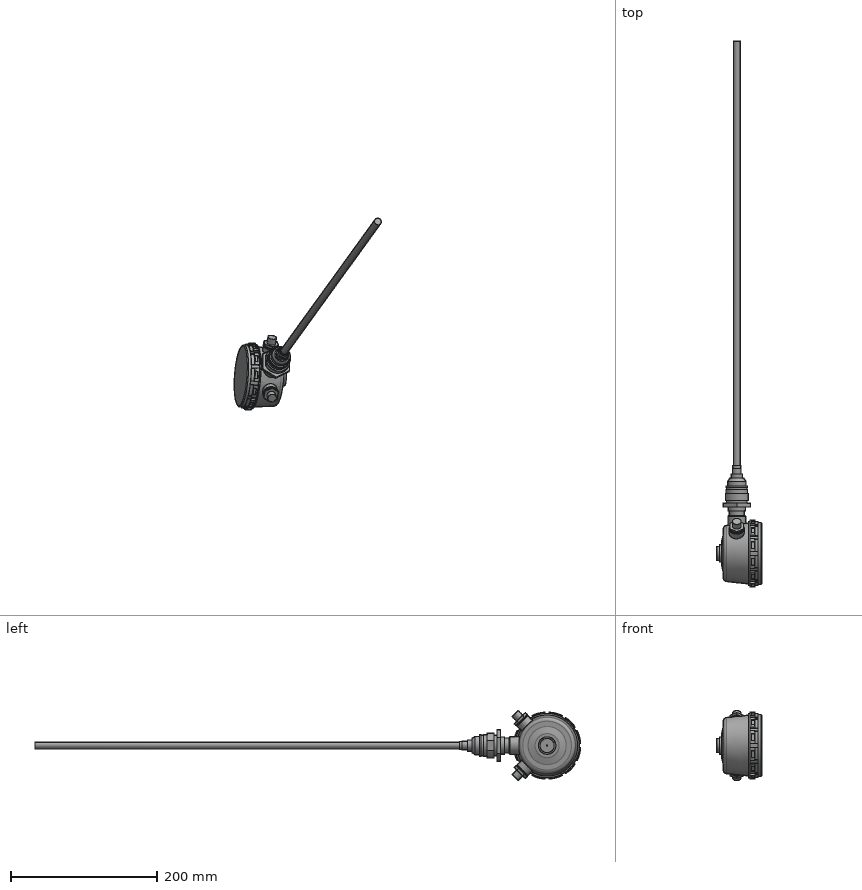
import cadquery as cq


TOTAL_LENGTH = 746.0
COVER_OUTER_DIAMETER = 92.0
PAD_RADIUS = COVER_OUTER_DIAMETER / 2
ROD_END_Y = TOTAL_LENGTH - PAD_RADIUS

ROD_RADIUS = 4.85
NECK_RADIUS = 10.5
NECK_START_Y = 52.0
COLLAR_RADIUS = 12.0
COLLAR_START_Y = 58.0
FLANGE_START_Y = 63.5
FLANGE_END_Y = 68.5
FLANGE_CORNERS = 43.0
SEAT_RADIUS = 14.0
NUT_START_Y = 72.0
NUT_END_Y = 82.0
NUT_RADIUS = 17.0
NUT_ACROSS_FLATS = 31.0
RING_RADIUS = 15.0
RING_GROOVE_RADIUS = 14.0
RING_GROOVE_START_Y = 87.0
RING_GROOVE_END_Y = 90.0
RING_END_Y = 92.5
SHOULDER_RADIUS = 13.0
SHOULDER_END_Y = 98.5
TAPER_RADIUS = 10.0
TAPER_END_Y = 103.0
SLEEVE_BASE_RADIUS = 16.0 / 2
SLEEVE_BASE_END_Y = 109.0
SLEEVE_RADIUS = 6.0
SLEEVE_END_Y = 116.0
TIP_RING_RADIUS = 5.6
TIP_RING_END_Y = 120.0

BACK_X = -19.0
BACK_RADIUS = 38.0
BACK_FILLET = 5.0
COVER_START_X = 16.0
SHELL_FRONT_RADIUS = 42.0
SPOUT_RADIUS = 24.5 / 2
SPOUT_CHAMFER = 1.5

DOME_RADIUS = 26.0
DOME_TOP_RADIUS = 16.5
DOME_TOP_X = -21.0
PLUG_RADIUS = 12.0
PLUG_TOP_X = -24.0
CAP_RADIUS = 10.0
CAP_TOP_X = -27.5
CENTRE_MARK_DIAMETER = 1.65
CENTRE_MARK_DEPTH = 1.5

COVER_END_X = 34.0
COVER_RADIUS = 42.5
COVER_CHAMFER = 1.5
COVER_RIM_RADIUS = 44.0
COVER_RIM_END_X = 18.0
PAD_COUNT = 12
PAD_STEP_X = 24.5
PAD_END_X = 29.0
PAD_LOW_RADIUS = 44.0
PAD_GAP = 5.0
POCKET_START_X = 20.0
POCKET_END_X = 24.0
POCKET_WIDTH = 10.0
POCKET_DEPTH = 2.0

ENTRY_ANGLES = (45, -45)
ENTRY_BOSS_RADIUS = 10.5
ENTRY_BOSS_END = 48.0
ENTRY_GROOVE_RADIUS = 9.0
ENTRY_NUT_START = 49.0
ENTRY_NUT_END = 53.0
ENTRY_NUT_CORNERS = 22.0
ENTRY_TIP_RADIUS = 6.0
ENTRY_TIP_END = 62.0


def y_cylinder(radius, start, end):
    return cq.Workplane("XZ", origin=(0, start, 0)).circle(radius).extrude(start - end)


def y_hexagon(corners, start, end):
    """Hexagonal prism along Y with two corners on the Z axis."""
    hexagon = cq.Workplane("XZ", origin=(0, start, 0)).polygon(6, corners).extrude(start - end)
    return hexagon.rotate((0, 0, 0), (0, 1, 0), 90)


def x_cylinder(radius, start, end):
    return cq.Workplane("YZ", origin=(start, 0, 0)).circle(radius).extrude(end - start)


def make_probe():
    """Rod and stepped fitting turned about Y, with a hexagonal flange and a two-flat nut."""
    profile = [
        (0, NECK_START_Y),
        (NECK_RADIUS, NECK_START_Y),
        (NECK_RADIUS, COLLAR_START_Y),
        (COLLAR_RADIUS, COLLAR_START_Y),
        (COLLAR_RADIUS, FLANGE_END_Y),
        (SEAT_RADIUS, FLANGE_END_Y),
        (SEAT_RADIUS, NUT_END_Y),
        (RING_RADIUS, NUT_END_Y),
        (RING_RADIUS, RING_GROOVE_START_Y),
        (RING_GROOVE_RADIUS, RING_GROOVE_START_Y),
        (RING_GROOVE_RADIUS, RING_GROOVE_END_Y),
        (RING_RADIUS, RING_GROOVE_END_Y),
        (RING_RADIUS, RING_END_Y),
        (SHOULDER_RADIUS, RING_END_Y),
        (SHOULDER_RADIUS, SHOULDER_END_Y),
        (TAPER_RADIUS, TAPER_END_Y),
        (SLEEVE_BASE_RADIUS, TAPER_END_Y),
        (SLEEVE_BASE_RADIUS, SLEEVE_BASE_END_Y),
        (SLEEVE_RADIUS, SLEEVE_BASE_END_Y),
        (SLEEVE_RADIUS, SLEEVE_END_Y),
        (TIP_RING_RADIUS, SLEEVE_END_Y),
        (TIP_RING_RADIUS, TIP_RING_END_Y),
        (ROD_RADIUS, TIP_RING_END_Y),
        (ROD_RADIUS, ROD_END_Y),
        (0, ROD_END_Y),
    ]
    turned = cq.Workplane("XY").polyline(profile).close().revolve(360, (0, 0, 0), (0, 1, 0))
    flange = y_hexagon(FLANGE_CORNERS, FLANGE_START_Y, FLANGE_END_Y)
    nut = y_cylinder(NUT_RADIUS, NUT_START_Y, NUT_END_Y)
    between_flats = cq.Workplane("XY").box(NUT_ACROSS_FLATS, 2 * NUT_END_Y, 2 * NUT_RADIUS)
    nut = nut.intersect(between_flats)
    return turned.union(flange).union(nut)


def make_shell():
    """Tapered round shell with a rounded back edge."""
    profile = [
        (BACK_X, 0),
        (BACK_X, BACK_RADIUS),
        (COVER_START_X, SHELL_FRONT_RADIUS),
        (COVER_START_X, 0),
    ]
    shell = cq.Workplane("XY").polyline(profile).close().revolve(360, (0, 0, 0), (1, 0, 0))
    return shell.faces("<X").edges().fillet(BACK_FILLET)


def make_back_plug():
    """Shallow cone, plug and cap stacked on the back face."""
    profile = [
        (BACK_X, 0),
        (BACK_X, DOME_RADIUS),
        (DOME_TOP_X, DOME_TOP_RADIUS),
        (DOME_TOP_X, PLUG_RADIUS),
        (PLUG_TOP_X, PLUG_RADIUS),
        (PLUG_TOP_X, CAP_RADIUS),
        (CAP_TOP_X, CAP_RADIUS),
        (CAP_TOP_X, 0),
    ]
    plug = cq.Workplane("XY").polyline(profile).close().revolve(360, (0, 0, 0), (1, 0, 0))
    mark = x_cylinder(CENTRE_MARK_DIAMETER / 2, CAP_TOP_X, CAP_TOP_X + CENTRE_MARK_DEPTH)
    return plug.cut(mark)


def outward_cut(start, end, width, floor, angle):
    """Block above the given floor radius, turned about X to the given angle from +Z."""
    block = cq.Workplane("XY").box(end - start, width, PAD_RADIUS, centered=(False, True, False))
    return block.translate((start, 0, floor)).rotate((0, 0, 0), (1, 0, 0), angle)


def make_cover():
    """Rimmed cover with a ring of stepped grip pads, parted by gaps and each with a pocket."""
    pads = x_cylinder(PAD_RADIUS, COVER_RIM_END_X, PAD_STEP_X)
    pads = pads.union(x_cylinder(PAD_LOW_RADIUS, PAD_STEP_X, PAD_END_X))
    pad_pitch = 360 / PAD_COUNT
    pocket_floor = PAD_RADIUS - POCKET_DEPTH
    for index in range(PAD_COUNT):
        gap_angle = index * pad_pitch
        pocket_angle = gap_angle + pad_pitch / 2
        pads = pads.cut(outward_cut(COVER_RIM_END_X, PAD_END_X, PAD_GAP, COVER_RADIUS, gap_angle))
        pads = pads.cut(
            outward_cut(POCKET_START_X, POCKET_END_X, POCKET_WIDTH, pocket_floor, pocket_angle)
        )
    rim = x_cylinder(COVER_RIM_RADIUS, COVER_START_X, COVER_RIM_END_X)
    cover = x_cylinder(COVER_RADIUS, COVER_START_X, COVER_END_X)
    cover = cover.faces(">X").chamfer(COVER_CHAMFER)
    return cover.union(rim).union(pads)


def make_cable_entry(angle):
    """Boss, hexagon nut and plain tip standing out radially at the given angle from +Y."""
    entry = y_cylinder(ENTRY_BOSS_RADIUS, 0, ENTRY_BOSS_END)
    entry = entry.union(y_cylinder(ENTRY_GROOVE_RADIUS, 0, ENTRY_NUT_START))
    entry = entry.union(y_hexagon(ENTRY_NUT_CORNERS, ENTRY_NUT_START, ENTRY_NUT_END))
    entry = entry.union(y_cylinder(ENTRY_TIP_RADIUS, 0, ENTRY_TIP_END))
    return entry.rotate((0, 0, 0), (1, 0, 0), angle)


def make_head():
    head = make_shell().union(make_back_plug()).union(make_cover())
    spout = y_cylinder(SPOUT_RADIUS, 0, NECK_START_Y).faces(">Y").chamfer(SPOUT_CHAMFER)
    head = head.union(spout)
    for angle in ENTRY_ANGLES:
        head = head.union(make_cable_entry(angle))
    return head


probe = make_probe()
head = make_head()
result = cq.Compound.makeCompound([probe.val(), head.val()])